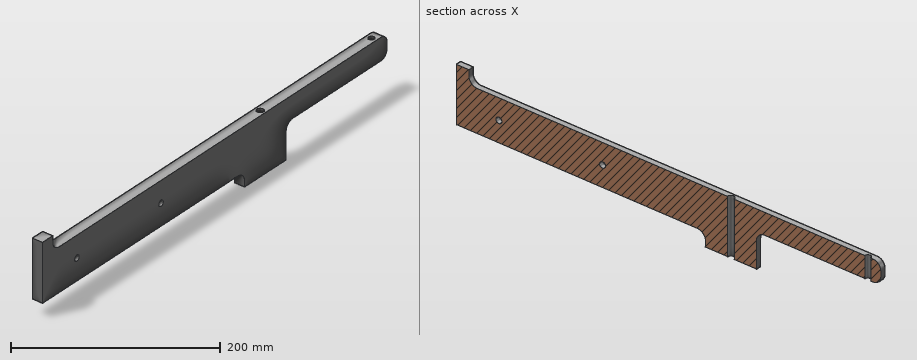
import cadquery as cq

length = 520.5
thickness = 12.5
step_height = 17.0
body_height = 51.5
arm_height = 26.5
hook_length = 15.5
foot_start = 305.0
foot_length = 63.0
corner_radius = 10.0

cross_hole_diameter = 7.0
cross_hole_positions = (52.0, 179.0)
tip_hole_diameter = 7.0
tip_hole_inset = 16.0
foot_hole_diameter = 8.0

body_bottom = step_height
body_top = body_bottom + body_height
hook_top = body_top + step_height
arm_bottom = body_top - arm_height
foot_end = foot_start + foot_length
cross_hole_height = body_bottom + body_height / 2


def bar():
    """Side outline extruded across X, centred on X = 0."""
    outline = [
        (0, body_bottom),
        (foot_start, body_bottom),
        (foot_start, 0),
        (foot_end, 0),
        (foot_end, arm_bottom),
        (length, arm_bottom),
        (length, body_top),
        (hook_length, body_top),
        (hook_length, hook_top),
        (0, hook_top),
    ]
    return cq.Workplane("YZ").polyline(outline).close().extrude(thickness / 2, both=True)


def round_corner(part, y, z):
    """Round the edge that runs along X through the given outline corner."""
    corner = cq.selectors.NearestToPointSelector((0, y, z))
    return part.edges("|X").edges(corner).fillet(corner_radius)


def vertical_hole(y, diameter):
    """Cutter for a hole through the full height of the part."""
    return cq.Workplane("XY").center(0, y).circle(diameter / 2).extrude(hook_top)


rounded_corners = [
    (foot_start, body_bottom),
    (foot_end, arm_bottom),
    (length, arm_bottom),
    (length, body_top),
    (hook_length, body_top),
]

result = bar()
for corner_y, corner_z in rounded_corners:
    result = round_corner(result, corner_y, corner_z)

cross_holes = (
    cq.Workplane("YZ")
    .pushPoints([(y, cross_hole_height) for y in cross_hole_positions])
    .circle(cross_hole_diameter / 2)
    .extrude(thickness, both=True)
)
result = result.cut(cross_holes)

result = result.cut(vertical_hole(length - tip_hole_inset, tip_hole_diameter))
result = result.cut(vertical_hole(foot_start + foot_length / 2, foot_hole_diameter))